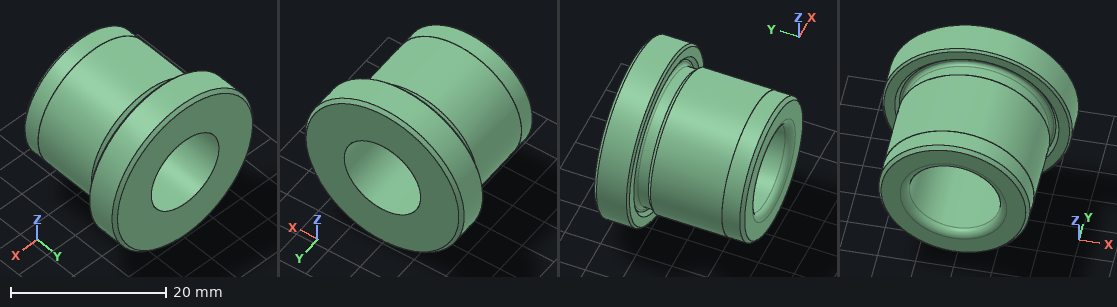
import cadquery as cq

length = 20.0
flange_diameter = 25.0
flange_thickness = 5.0
flange_front_chamfer = 0.3
flange_back_chamfer = 0.5

shank_diameter = 20.0
pilot_diameter = 19.92
pilot_length = 3.0
pilot_chamfer_length = 0.5
pilot_chamfer_depth = 0.45

neck_diameter = 19.0
neck_length = 1.5

relief_diameter = 21.6
relief_depth = 0.5
relief_fillet = 0.5

bore_diameter = 12.0
bore_entry_radius = 1.0

flange_radius = flange_diameter / 2
shank_radius = shank_diameter / 2
pilot_radius = pilot_diameter / 2
neck_radius = neck_diameter / 2
neck_chamfer = shank_radius - neck_radius
bore_radius = bore_diameter / 2
flange_front = length - flange_thickness
relief_radius = relief_diameter / 2
relief_floor = flange_front + relief_depth
neck_start = flange_front - neck_length

profile = (
    cq.Workplane("XY")
    .moveTo(bore_radius, length)
    .lineTo(bore_radius, bore_entry_radius)
    .radiusArc((bore_radius + bore_entry_radius, 0), -bore_entry_radius)
    .lineTo(pilot_radius - pilot_chamfer_depth, 0)
    .lineTo(pilot_radius, pilot_chamfer_length)
    .lineTo(pilot_radius, pilot_length)
    .lineTo(shank_radius, pilot_length)
    .lineTo(shank_radius, neck_start - neck_chamfer)
    .lineTo(neck_radius, neck_start)
    .lineTo(neck_radius, relief_floor - relief_fillet)
    .radiusArc((neck_radius + relief_fillet, relief_floor), relief_fillet)
    .lineTo(relief_radius - relief_depth, relief_floor)
    .lineTo(relief_radius, flange_front)
    .lineTo(flange_radius - flange_front_chamfer, flange_front)
    .lineTo(flange_radius, flange_front + flange_front_chamfer)
    .lineTo(flange_radius, length - flange_back_chamfer)
    .lineTo(flange_radius - flange_back_chamfer, length)
    .close()
)
result = profile.revolve(360, (0, 0, 0), (0, 1, 0))